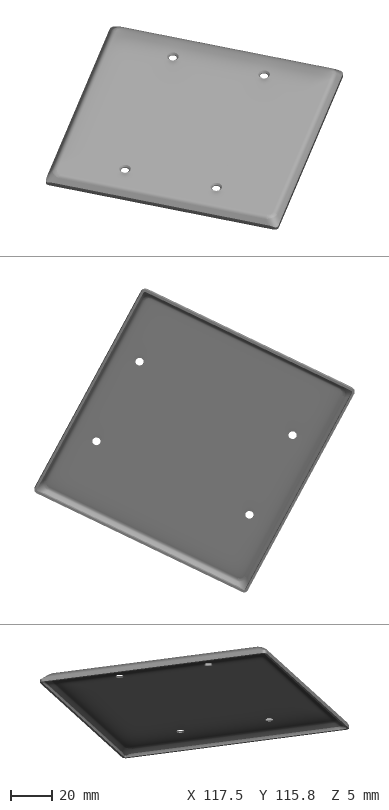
import cadquery as cq
import math

length = 117.5
width = 115.8
height = 5.0
wall = 1.2

rim_height = 2.1
bevel_angle = 45.0
corner_radius = 2.0
hip_radius = 6.3
top_radius = 3.3

hole_diameter = 4.0
countersink_diameter = 5.6
countersink_angle = 90.0
hole_spacing_x = 46.0
hole_spacing_y = 83.3

bevel_foot_drop = wall * math.tan(math.radians(bevel_angle / 2))


def sharp_block(size_x, size_y, top):
    """Plain block standing on the XY plane, centred on the Z axis."""
    return cq.Workplane("XY").box(size_x, size_y, top, centered=(True, True, False))


def bevelled_plate(size_x, size_y, top, rim, corner, hip, crown):
    """Solid plate with bevelled sides, rounded corners and a rounded top edge."""
    bevel_height = top - rim
    bevel_inset = bevel_height / math.tan(math.radians(bevel_angle))
    bevelled = sharp_block(size_x, size_y, top).faces(">Z").chamfer(bevel_height, bevel_inset)

    hipped = bevelled.edges("not (|X or |Y or |Z)").fillet(hip)

    rounded_block = sharp_block(size_x, size_y, top).edges("|Z").fillet(corner)

    return hipped.intersect(rounded_block).faces(">Z").edges().fillet(crown)


outside = bevelled_plate(
    length,
    width,
    height,
    rim_height,
    corner_radius,
    hip_radius,
    top_radius,
)

cavity = bevelled_plate(
    length - 2 * wall,
    width - 2 * wall,
    height - wall,
    rim_height - bevel_foot_drop,
    corner_radius - wall,
    hip_radius - wall,
    top_radius - wall,
)

result = (
    outside.cut(cavity)
    .faces(">Z")
    .workplane(origin=(0, 0, height))
    .rarray(hole_spacing_x, hole_spacing_y, 2, 2)
    .cskHole(hole_diameter, countersink_diameter, countersink_angle)
)